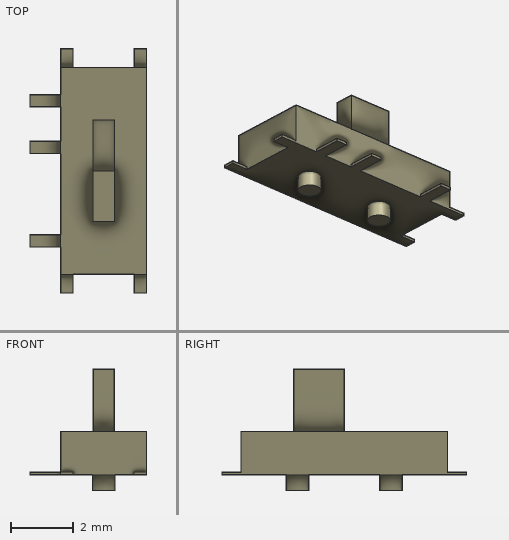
import cadquery as cq

body_width = 2.76
body_length = 6.64
body_height = 1.4

strip_width = 0.4
strip_thickness = 0.095
terminal_reach = 0.99
overall_length = 7.85
tab_reach = (overall_length - body_length) / 2

pitch = 1.5
terminal_places = (1.5 * pitch, 0.5 * pitch, -1.5 * pitch)
peg_diameter = 0.73
peg_length = 0.5

slot_width = 0.68
slot_length = 3.25
slot_depth = 0.1
slider_length = slot_length / 2
slider_height = 2.0


def block(size_x, size_y, size_z, center_x, center_y, bottom_z):
    """Box centred in X and Y, standing on bottom_z."""
    box = cq.Workplane("XY").box(size_x, size_y, size_z, centered=(True, True, False))
    return box.translate((center_x, center_y, bottom_z))


def make_housing():
    housing = block(body_width, body_length, body_height, 0, 0, 0)
    slot = block(slot_width, slot_length, slot_depth, 0, 0, body_height - slot_depth)
    return housing.cut(slot)


def make_slider():
    """Lever filling the -Y half of the slot."""
    full_height = slider_height + slot_depth
    return block(slot_width, slider_length, full_height, 0, -slider_length / 2, body_height - slot_depth)


def add_terminals(part):
    center_x = -(body_width + terminal_reach) / 2
    for y in terminal_places:
        part = part.union(block(terminal_reach, strip_width, strip_thickness, center_x, y, 0))
    return part


def add_corner_tabs(part):
    center_x = (body_width - strip_width) / 2
    center_y = (body_length + tab_reach) / 2
    for x in (-center_x, center_x):
        for y in (-center_y, center_y):
            part = part.union(block(strip_width, tab_reach, strip_thickness, x, y, 0))
    return part


def make_pegs():
    pegs = cq.Workplane("XY").pushPoints([(0, -pitch), (0, pitch)])
    return pegs.circle(peg_diameter / 2).extrude(-peg_length)


result = make_housing().union(make_slider())
result = add_terminals(result)
result = add_corner_tabs(result)
result = result.union(make_pegs())